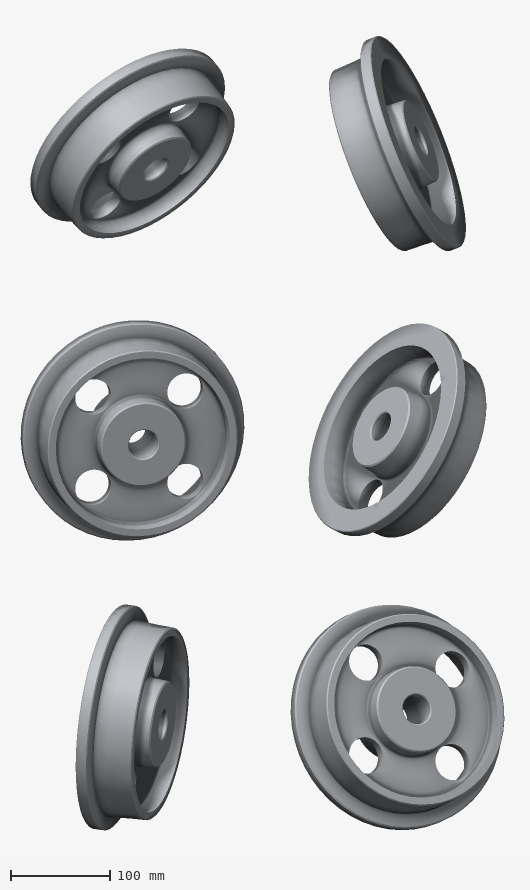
import cadquery as cq
import math

hub_length = 60.0
hub_front = -hub_length / 2
hub_back = hub_length / 2
rim_front = -27.2
rim_back = 27.2
flange_back = -14.9
tread_front = -12.5
web_front = -1.5
web_back = 10.5

flange_radius = 114.2
flange_shoulder_radius = 112.9
tread_front_radius = 100.0
tread_back_radius = 98.0

hub_radius = 43.9
hub_blank_radius = 57.1
bore_radius = 15.0
pocket_mouth_radius = 89.8
draft_angle = 4.6

hole_count = 4
hole_radius = 18.5
hole_circle_radius = 67.2

edge_chamfer = 1.1
flange_chamfer = 1.0
hub_chamfer = 1.4
web_fillet = 2.3

draft_slope = math.tan(math.radians(draft_angle))


def revolve_about_axis(points):
    """Revolve an (axial, radial) outline about the X axis."""
    return cq.Workplane("XZ").polyline(points).close().revolve(360, (0, 0, 0), (1, 0, 0))


def wheel_blank():
    """Flange and tapered tread, solid between both rim faces."""
    return revolve_about_axis([
        (rim_front, 0),
        (rim_front, flange_radius - flange_chamfer),
        (rim_front + flange_chamfer, flange_radius),
        (flange_back - edge_chamfer, flange_radius),
        (flange_back, flange_shoulder_radius),
        (tread_front, tread_front_radius),
        (rim_back - edge_chamfer, tread_back_radius),
        (rim_back, tread_back_radius - edge_chamfer),
        (rim_back, 0),
    ])


def pocket(web_face, rim_face, hub_face):
    """Drafted ring between hub and rim, rounded where its walls meet the web."""
    rim_depth = abs(rim_face - web_face)
    hub_depth = abs(hub_face - web_face)
    ring = revolve_about_axis([
        (web_face, hub_radius + hub_depth * draft_slope),
        (hub_face, hub_radius),
        (hub_face, pocket_mouth_radius + (hub_depth - rim_depth) * draft_slope),
        (web_face, pocket_mouth_radius - rim_depth * draft_slope),
    ])
    web_side = "<X" if hub_face > web_face else ">X"
    return ring.faces(web_side).edges().fillet(web_fillet)


def hub_blank():
    """Oversize hub barrel; the two pockets cut it down to the drafted hub."""
    return cq.Workplane("YZ", origin=(hub_front, 0, 0)).circle(hub_blank_radius).extrude(hub_length)


def bore():
    """Through bore with a chamfered mouth at each hub face."""
    mouth_radius = bore_radius + edge_chamfer
    return revolve_about_axis([
        (hub_front, 0),
        (hub_front, mouth_radius),
        (hub_front + edge_chamfer, bore_radius),
        (hub_back - edge_chamfer, bore_radius),
        (hub_back, mouth_radius),
        (hub_back, 0),
    ])


def lightening_holes():
    """Equally spaced cutters running the whole width, set between the quadrants."""
    return (
        cq.Workplane("YZ", origin=(hub_front, 0, 0))
        .polarArray(hole_circle_radius, 180 / hole_count, 360, hole_count)
        .circle(hole_radius)
        .extrude(hub_length)
    )


wheel = (
    wheel_blank()
    .union(hub_blank())
    .cut(pocket(web_front, rim_front, hub_front))
    .cut(pocket(web_back, rim_back, hub_back))
)
wheel = wheel.faces("<X or >X").edges().chamfer(hub_chamfer)
result = wheel.cut(bore()).cut(lightening_holes())